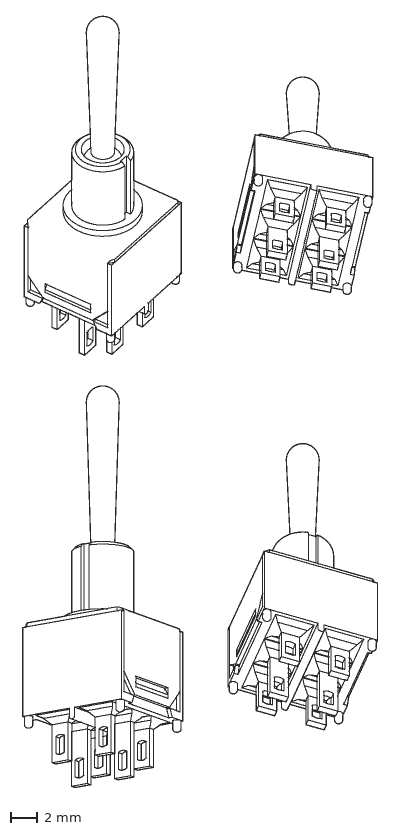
import cadquery as cq
import math

width_x = 8.12
depth_y = 9.15
block_bottom = 4.93
block_top = 12.2
sheet = 0.3
housing_top = block_top - sheet

flap_half_width = 3.7
flap_bottom = 5.65
flap_foot_half_width = 2.3
flap_taper_top = 7.15
bend_radius = 0.4

window_half_width = 2.1
window_bottom = 6.3
window_top = 7.13
latch_ramp_bottom = 6.57

ledge_height = 5.58
notch_top_half_width = 2.35
notch_bottom_half_width = 2.65

flange_diameter = 6.0
flange_top = 12.77
bushing_diameter = 4.7
bushing_top = 18.28
bushing_chamfer = 0.28
bore_diameter = 3.25
keyway_width = 0.75
keyway_floor_x = 1.92

overall_height = 31.0
tip_diameter = 2.5
tip_radius = tip_diameter / 2
stick_foot_radius = 0.9
ball_radius = bore_diameter / 2
ball_depth = 1.6
ball_centre_z = bushing_top - ball_depth
tip_centre_z = overall_height - tip_radius

terminal_pitch_x = 2.55
terminal_pitch_y = 4.0
terminal_thickness = 0.5
terminal_width = 1.5
outer_terminal_tip = 1.3
slot_length = 1.55
slot_width = 0.77
slot_above_tip = 0.55
slot_end_rise = 0.12

root_height = 0.65
root_waist_depth = 0.2
root_waist_reach = 0.45
root_reach_x = 1.0
root_reach_y = 0.8

standoff_bottom = 4.05
peg_diameter = 0.65
peg_fillet = 0.25
rib_width = 0.5
rib_fillet = 0.232


def prism_along_y(points, y_start, length):
    """Extrude an X-Z outline from y_start toward +Y."""
    return cq.Workplane("XZ", origin=(0, y_start, 0)).polyline(points).close().extrude(-length)


def box_between(x_size, y_size, z_low, z_high):
    """Box centred on the Z axis between two heights."""
    return cq.Workplane("XY", origin=(0, 0, z_low)).rect(x_size, y_size).extrude(z_high - z_low)


def both_sides(front_shape):
    """The shape on the -Y side together with its mirror image on the +Y side."""
    return front_shape.union(front_shape.mirror("XZ"))


def frame_sheet():
    """Top sheet with a tapered, windowed flap bent down on each side."""
    shell = box_between(width_x, depth_y, flap_bottom, block_top)
    shell = shell.faces(">Z").edges("|X").fillet(bend_radius)
    shell = shell.cut(box_between(width_x, depth_y - 2 * sheet, flap_bottom, housing_top))

    flap_outline = [
        (-flap_foot_half_width, flap_bottom),
        (flap_foot_half_width, flap_bottom),
        (flap_half_width, flap_taper_top),
        (flap_half_width, block_top),
        (-flap_half_width, block_top),
        (-flap_half_width, flap_taper_top),
    ]
    flaps = prism_along_y(flap_outline, -depth_y / 2, depth_y)

    half_x = width_x / 2
    half_y = depth_y / 2
    corner = half_x - flap_half_width
    top_outline = [
        (half_x, half_y - bend_radius), (half_x - corner, half_y),
        (corner - half_x, half_y), (-half_x, half_y - bend_radius),
        (-half_x, bend_radius - half_y), (corner - half_x, -half_y),
        (half_x - corner, -half_y), (half_x, bend_radius - half_y),
    ]
    top = cq.Workplane("XY", origin=(0, 0, housing_top)).polyline(top_outline).close().extrude(sheet)

    window = box_between(2 * window_half_width, depth_y, window_bottom, window_top)
    return shell.intersect(flaps.union(top)).cut(window)


def bushing():
    """Flanged bushing with a keyway, and a bore that ends on the lever ball."""
    flange = cq.Workplane("XY", origin=(0, 0, block_top)).circle(flange_diameter / 2)
    flange = flange.extrude(flange_top - block_top)
    barrel = cq.Workplane("XY", origin=(0, 0, flange_top)).circle(bushing_diameter / 2)
    barrel = barrel.extrude(bushing_top - flange_top).faces(">Z").chamfer(bushing_chamfer)
    bore = cq.Workplane("XY", origin=(0, 0, ball_centre_z)).circle(bore_diameter / 2)
    bore = bore.extrude(bushing_top - ball_centre_z)
    keyway = box_between(bushing_diameter, keyway_width, flange_top, bushing_top)
    keyway = keyway.translate((keyway_floor_x + bushing_diameter / 2, 0, 0))
    return flange.union(barrel).cut(bore).cut(keyway)


def lever():
    """Turned lever: upper half of the ball, tapered stick and rounded tip."""
    foot_z = ball_centre_z + math.sqrt(ball_radius**2 - stick_foot_radius**2)
    arc_angle = math.atan2(foot_z - ball_centre_z, stick_foot_radius) / 2
    ball_mid = (ball_radius * math.cos(arc_angle), ball_centre_z + ball_radius * math.sin(arc_angle))
    tip_mid = (tip_radius * math.sqrt(0.5), tip_centre_z + tip_radius * math.sqrt(0.5))
    profile = (
        cq.Workplane("XZ")
        .moveTo(0, ball_centre_z)
        .lineTo(ball_radius, ball_centre_z)
        .threePointArc(ball_mid, (stick_foot_radius, foot_z))
        .lineTo(tip_radius, tip_centre_z)
        .threePointArc(tip_mid, (0, overall_height))
        .close()
    )
    return profile.revolve(360, (0, 0, 0), (0, 1, 0))


def housing_block():
    """Block under the frame, with a pocket for each flap and a latch in each window."""
    block = box_between(width_x, depth_y, block_bottom, housing_top)
    pocket_outline = [
        (-notch_bottom_half_width, block_bottom),
        (notch_bottom_half_width, block_bottom),
        (notch_top_half_width, ledge_height),
        (flap_half_width, ledge_height),
        (flap_half_width, housing_top),
        (-flap_half_width, housing_top),
        (-flap_half_width, ledge_height),
        (-notch_top_half_width, ledge_height),
    ]
    pocket = prism_along_y(pocket_outline, -depth_y / 2, sheet)

    outer_y = -depth_y / 2
    latch = (
        cq.Workplane("YZ", origin=(-window_half_width, 0, 0))
        .polyline([
            (outer_y + sheet, window_bottom), (outer_y, window_bottom),
            (outer_y, latch_ramp_bottom), (outer_y + sheet, window_top),
        ])
        .close()
        .extrude(2 * window_half_width)
    )
    return block.cut(both_sides(pocket)).union(both_sides(latch))


def terminal_root(x, y):
    """Flared root that narrows in two steps from the block down to the blade."""
    root = cq.Workplane("XY", origin=(x, y, block_bottom))
    root = root.rect(terminal_thickness + 2 * root_reach_x, terminal_width + 2 * root_reach_y)
    root = root.workplane(offset=-root_waist_depth)
    root = root.rect(terminal_thickness + 2 * root_waist_reach, terminal_width + 2 * root_waist_reach)
    root = root.workplane(offset=root_waist_depth - root_height)
    return root.rect(terminal_thickness, terminal_width).loft(ruled=True)


def terminal_slot(x, y, tip_z):
    """Slot through a terminal along X, with shallow rounded ends."""
    half_width = slot_width / 2
    slot_low = tip_z + slot_above_tip
    slot_high = slot_low + slot_length
    return (
        cq.Workplane("YZ", origin=(x - terminal_thickness, y, 0))
        .moveTo(-half_width, slot_low + slot_end_rise)
        .threePointArc((0, slot_low), (half_width, slot_low + slot_end_rise))
        .lineTo(half_width, slot_high - slot_end_rise)
        .threePointArc((0, slot_high), (-half_width, slot_high - slot_end_rise))
        .close()
        .extrude(2 * terminal_thickness)
    )


def terminal(x, y, tip_z):
    """Flat terminal with a slotted eye and a flared root under the block."""
    blade = box_between(terminal_thickness, terminal_width, tip_z, block_bottom).translate((x, y, 0))
    return blade.union(terminal_root(x, y)).cut(terminal_slot(x, y, tip_z))


def standoffs():
    """Round pegs in the four corners and a rib along X in the middle."""
    height = block_bottom - standoff_bottom
    inset = peg_diameter / 2
    pegs = (
        cq.Workplane("XY", origin=(0, 0, standoff_bottom))
        .rect(width_x - 2 * inset, depth_y - 2 * inset, forConstruction=True)
        .vertices()
        .circle(peg_diameter / 2)
        .extrude(height)
        .faces("<Z")
        .fillet(peg_fillet)
    )
    rib = box_between(width_x, rib_width, standoff_bottom, block_bottom)
    rib = rib.faces("<Z").edges("|X").fillet(rib_fillet)
    return pegs.union(rib)


def housing_body():
    """Block, standoffs and two rows of three terminals as one solid."""
    body = housing_block().union(standoffs())
    for column in (-1, 0, 1):
        tip_z = 0 if column == 0 else outer_terminal_tip
        for row in (-0.5, 0.5):
            body = body.union(terminal(column * terminal_pitch_x, row * terminal_pitch_y, tip_z))
    return body


def frame_body():
    """Frame sheet, bushing and lever as one solid."""
    return frame_sheet().union(bushing()).union(lever())


frame = frame_body().solids()
housing = housing_body().solids()
result = cq.Compound.makeCompound([frame.val(), housing.val()])